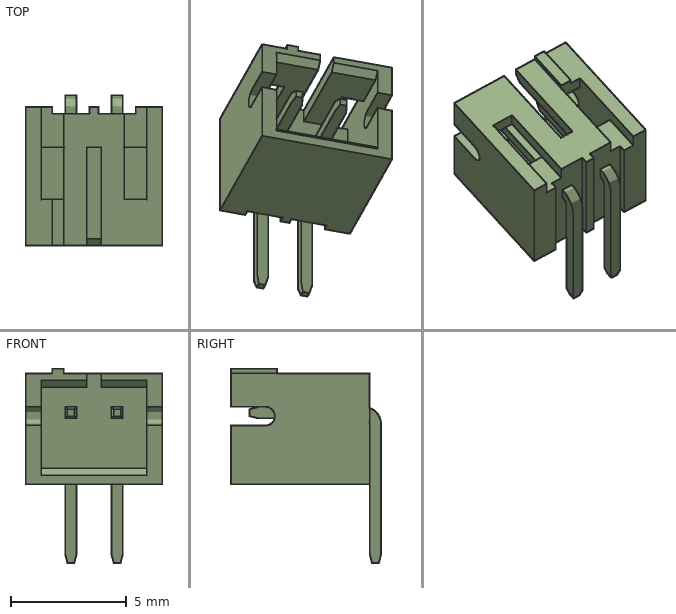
import cadquery as cq


body_width = 5.9
body_depth = 6.0
body_height = 4.8
side_wall = 0.66
floor_thickness = 0.7
roof_thickness = 0.6
cavity_depth = 4.25
lead_in = 0.3

cavity_half_width = body_width / 2 - side_wall
cavity_roof = body_height - roof_thickness

roof_slot_width = 0.61
window_inner_x = 1.305
window_front_y = 2.0

rib_width = 0.5
rib_height = 0.2

side_slot_width = 0.8
side_slot_depth = 1.9
side_slot_base = 2.55

notch_depth = 0.3
notch_inner_x = 0.2
notch_outer_x = 1.8

pin_pitch = 2.0
pin_size = 0.5
pin_tip_size = 0.3
pin_taper = 0.38
pin_tip_y = 0.8
pin_axis_z = 3.1
pin_end_z = -3.4
pin_overhang = 0.5
bend_outer_radius = 0.75


def box(x_range, y_range, z_range):
    """Block spanning the given (low, high) ranges."""
    size = [high - low for low, high in (x_range, y_range, z_range)]
    corner = (x_range[0], y_range[0], z_range[0])
    return cq.Workplane("XY").box(*size, centered=False).translate(corner)


def make_cavity():
    """Mating cavity, with 45 degree lead-ins on its floor and roof edges."""
    profile = [
        (0, floor_thickness - lead_in),
        (lead_in, floor_thickness),
        (cavity_depth, floor_thickness),
        (cavity_depth, cavity_roof),
        (lead_in, cavity_roof),
        (0, cavity_roof + lead_in),
    ]
    return (
        cq.Workplane("YZ")
        .polyline(profile)
        .close()
        .extrude(cavity_half_width, both=True)
    )


def make_roof_slot():
    """Central slot running from the mating face to the back of the cavity."""
    half_width = roof_slot_width / 2
    return box((-half_width, half_width), (0, cavity_depth), (cavity_roof, body_height))


def make_window(side):
    """Roof opening beside one wall; it ends as a ledge on top of the rear wall."""
    x_range = sorted((side * window_inner_x, side * cavity_half_width))
    return box(x_range, (window_front_y, body_depth), (cavity_roof, body_height))


def make_notch(side):
    """Full-height relief in the rear face behind one pin."""
    x_range = sorted((side * notch_inner_x, side * notch_outer_x))
    return box(x_range, (body_depth - notch_depth, body_depth), (0, body_height))


def make_side_slot():
    """Slot through both side walls, open at the mating face."""
    radius = side_slot_width / 2
    middle = side_slot_base + radius
    top = side_slot_base + side_slot_width
    return (
        cq.Workplane("YZ")
        .moveTo(0, side_slot_base)
        .lineTo(side_slot_depth - radius, side_slot_base)
        .threePointArc((side_slot_depth, middle), (side_slot_depth - radius, top))
        .lineTo(0, top)
        .close()
        .extrude(body_width / 2, both=True)
    )


def make_rib():
    """Raised key on the roof, its inner side in line with the left window."""
    x_range = (-window_inner_x - rib_width, -window_inner_x)
    return box(x_range, (0, window_front_y), (body_height, body_height + rib_height))


def make_tip(plane):
    """Square taper growing from a pin end along the normal of the plane."""
    return (
        plane.rect(pin_size, pin_size)
        .workplane(offset=pin_taper)
        .rect(pin_tip_size, pin_tip_size)
        .loft(combine=True)
    )


def make_pin(x):
    """Square pin bent down behind the shroud, tapered at both ends."""
    shank_start = pin_tip_y + pin_taper
    shank_end = pin_end_z + pin_taper
    outer_y = body_depth + pin_overhang
    tail_y = outer_y - pin_size / 2
    bend_y = outer_y - bend_outer_radius
    centre_radius = bend_outer_radius - pin_size / 2
    path = (
        cq.Workplane("YZ", origin=(x, 0, 0))
        .moveTo(shank_start, pin_axis_z)
        .lineTo(bend_y, pin_axis_z)
        .tangentArcPoint((tail_y, pin_axis_z - centre_radius), relative=False)
        .lineTo(tail_y, shank_end)
    )
    contact_end = cq.Workplane("XZ", origin=(x, shank_start, pin_axis_z))
    shank = contact_end.rect(pin_size, pin_size).sweep(path)
    tail_end = cq.Workplane("XY", origin=(x, tail_y, shank_end)).transformed(rotate=(180, 0, 0))
    return shank.union(make_tip(contact_end)).union(make_tip(tail_end))


def make_shroud():
    shroud = box((-body_width / 2, body_width / 2), (0, body_depth), (0, body_height))
    shroud = shroud.cut(make_cavity()).cut(make_roof_slot()).cut(make_side_slot())
    for side in (-1, 1):
        shroud = shroud.cut(make_window(side)).cut(make_notch(side))
    return shroud.union(make_rib())


result = make_shroud()
for side in (-1, 1):
    result = result.union(make_pin(side * pin_pitch / 2))